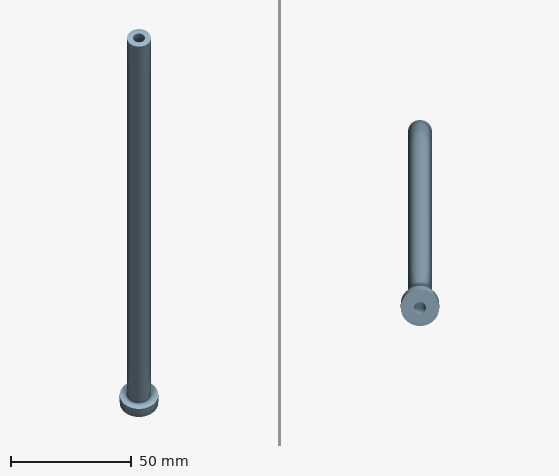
import cadquery as cq

total_length = 225.0
head_diameter = 16.0
head_height = 5.0
shaft_diameter = 10.0
bore_diameter = 5.0
neck_fillet = 0.5

head_radius = head_diameter / 2
shaft_radius = shaft_diameter / 2
bore_radius = bore_diameter / 2

half_section = (
    cq.Workplane("XZ")
    .moveTo(bore_radius, 0)
    .lineTo(head_radius, 0)
    .lineTo(head_radius, head_height)
    .lineTo(shaft_radius + neck_fillet, head_height)
    .radiusArc((shaft_radius, head_height + neck_fillet), neck_fillet)
    .lineTo(shaft_radius, total_length)
    .lineTo(bore_radius, total_length)
    .close()
)

result = half_section.revolve(360, (0, 0), (0, 1))